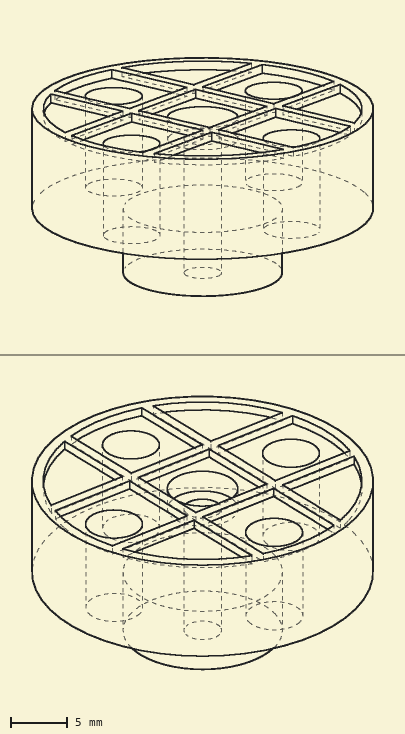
import cadquery as cq

disc_diameter = 30.0
hub_diameter = 14.0
total_height = 15.1
hub_height = 5.9
disc_height = total_height - hub_height

rim_width = 1.0
recess_depth = 0.8
rib_width = 1.0
center_cell_size = 8.0
rib_offset = (center_cell_size + rib_width) / 2
recess_diameter = disc_diameter - 2 * rim_width
recess_floor = total_height - recess_depth

mounting_hole_diameter = 5.0
mounting_hole_count = 4
mounting_circle_radius = 10.0

screw_hole_diameter = 3.3
screw_head_diameter = 6.2
screw_head_depth = 2.0


def make_body():
    hub = cq.Workplane("XY").circle(hub_diameter / 2).extrude(hub_height)
    disc = (
        cq.Workplane("XY")
        .workplane(offset=hub_height)
        .circle(disc_diameter / 2)
        .extrude(disc_height)
    )
    return hub.union(disc)


def make_recess():
    """Round recess with two ribs along X and two along Y left standing."""
    floor = cq.Workplane("XY").workplane(offset=recess_floor)
    recess = floor.circle(recess_diameter / 2).extrude(recess_depth)
    for offset in (-rib_offset, rib_offset):
        rib_along_x = floor.center(0, offset).rect(disc_diameter, rib_width).extrude(recess_depth)
        rib_along_y = floor.center(offset, 0).rect(rib_width, disc_diameter).extrude(recess_depth)
        recess = recess.cut(rib_along_x).cut(rib_along_y)
    return recess


def make_mounting_holes():
    return (
        cq.Workplane("XY")
        .polarArray(mounting_circle_radius, 0, 360, mounting_hole_count)
        .circle(mounting_hole_diameter / 2)
        .extrude(total_height)
    )


def make_screw_hole():
    """Through hole, counterbored below the recess floor."""
    shank = cq.Workplane("XY").circle(screw_hole_diameter / 2).extrude(total_height)
    head = (
        cq.Workplane("XY")
        .workplane(offset=recess_floor - screw_head_depth)
        .circle(screw_head_diameter / 2)
        .extrude(screw_head_depth)
    )
    return shank.union(head)


result = make_body().cut(make_recess()).cut(make_mounting_holes()).cut(make_screw_hole())